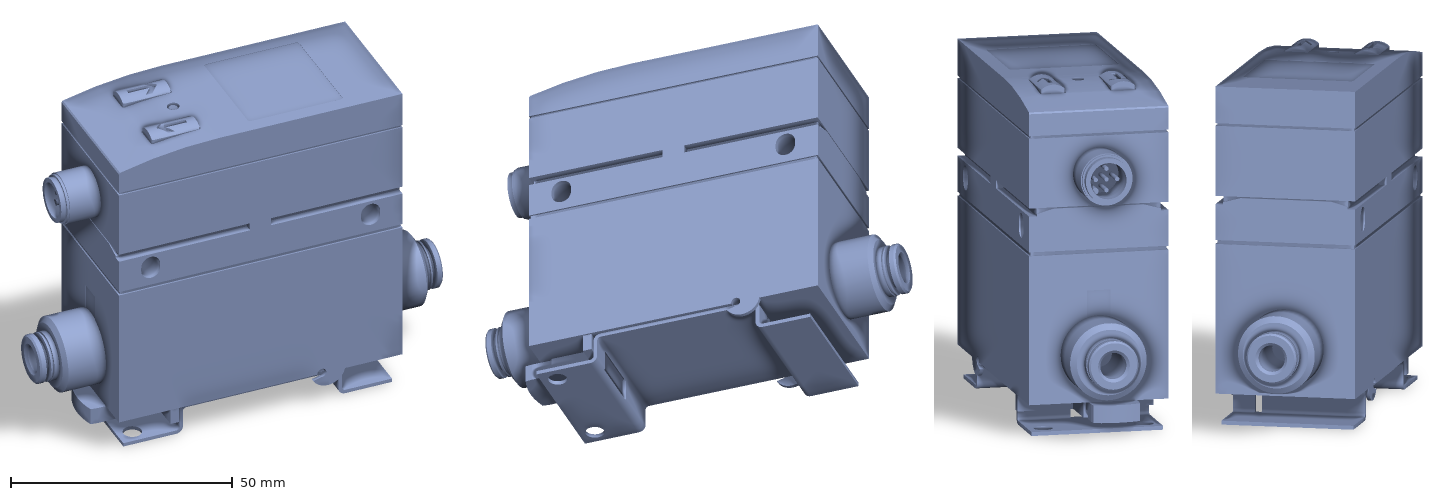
import cadquery as cq
import math

WIDTH = 32.3
LENGTH = 69.7
HEIGHT = 70.3
HALF_WIDTH = WIDTH / 2
FRONT = -LENGTH / 2
BACK = LENGTH / 2
SLOPE_START = -10.2
EDGE_CHAMFER = 0.3
SLOPE_DROP = 3.1
JOINT_DEPTH = 0.4
JOINTS = [(34.3, 0.9), (61.3, 0.6)]

SLOT_BOTTOM = 43.4
SLOT_HEIGHT = 1.9
SLOT_DEPTH = 1.8
SLOT_BRIDGE = 5.1
BRIDGE_Y = 0.0
MOUTH_DEPTH = 0.6
MOUTH_TAPER_END = 10.4
MOUTH_GAP = 0.3

CROSS_HOLE_WIDTH = 4.7
CROSS_HOLE_HEIGHT = 5.6
CROSS_HOLE_Y = 27.0
CROSS_HOLE_Z = 39.8

SHALLOW = 0.1
WINDOW_WIDTH = 25.3
WINDOW_LENGTH = 23.3
WINDOW_Y = 10.2
WINDOW_RADIUS = 0.7
LIGHT_DIAMETER = 2.9
LIGHT_Y = -14.5
LIGHT_DEPTH = 0.9
LENS_DIAMETER = 2.0
LENS_HEIGHT = 0.5

BUTTON_WIDTH = 5.5
BUTTON_LENGTH = 11.9
BUTTON_GAP = 0.2
BUTTON_CORNER = 0.4
BUTTON_X = 8.1
BUTTON_Y = -18.5
BUTTON_TOP = 71.3
BUTTON_CROWN = 1.1
BUTTON_WELL_FLOOR = 69.1
ARROW_DEPTH = 0.8
ARROW_LENGTH = 7.3
ARROW_SHAFT = 1.1
ARROW_HEAD = 4.2
ARROW_BARB = 1.6

LABEL_WIDTH = 5.4
LABEL_TOP = 25.7

PORT_Z = 11.1
COLLAR_DIAMETER = 17.7
COLLAR_LENGTH = 10.1
COLLAR_CHAMFER = 0.9
COLLAR_NOSE_DIAMETER = 15.0
LAND_DIAMETER = 11.5
LAND_LENGTH = 2.0
LAND_GROOVE_DIAMETER = 10.5
LAND_GROOVE_WIDTH = 0.4
NECK_DIAMETER = 8.1
NECK_LENGTH = 1.1
RELEASE_DIAMETER = 11.5
RELEASE_CHAMFER = 0.4
PORT_BORE = 6.0
PORT_MOUTH = 7.3
OVERALL_LENGTH = 99.0
FITTING_LENGTH = (OVERALL_LENGTH - LENGTH) / 2

PLUG_Z = 52.7
PLUG_DIAMETER = 12.0
PLUG_NOSE_DIAMETER = 10.5
PLUG_LENGTH = 9.4
PLUG_SHOULDER = 7.5
PLUG_STEP_DIAMETER = 11.5
PLUG_STEP = 8.1
PLUG_BORE = 8.3
PLUG_BORE_DEPTH = 7.9
PIN_DIAMETER = 1.0
PIN_LENGTH = 5.9
PIN_SPACING = 2.5
KEY_DIAMETER = 1.5
KEY_OFFSET = 2.6
KEY_SETBACK = 2.0

HOOK_Y = 16.5
HOOK_RADIUS = 4.3
HOOK_DEPTH = 3.5
NOTCH_Y = 15.0
NOTCH_Z = 0.2
NOTCH_RADIUS = 1.1
HOOK_TIP_Y = 13.3
HOOK_TIP_Z = -1.4

SHEET = 0.9
BRACKET_WIDTH = 30.5
BRACKET_DROP = 7.4
BRACKET_LEG_FRONT = -19.6
BRACKET_LEG_BACK = 20.4
FOOT_END_FRONT = -33.4
FOOT_END_BACK = 32.7
BEND_RADIUS = 0.8
FOOT_HOLE_DIAMETER = 4.4
FOOT_HOLE_X = 11.7
FOOT_HOLE_Y = -29.6
LEG_GAP_LEFT = -3.0
LEG_GAP_RIGHT = 10.2
BACK_GAP_LEFT = 8.6

SLIDER_WIDTH = 31.5
SLIDER_HEIGHT = 4.1
BAR_BACK = -19.9
BAR_FRONT = -22.0
TAB_CENTRE = 3.3
TAB_WIDTH = 11.1
TAB_BLOCK_WIDTH = 12.3
TAB_BLOCK_FRONT = -32.0
TAB_SIDE_END = -36.9
TAB_CORNER = -38.5
TAB_CORNER_INSET = 0.2
TAB_FRONT = -39.4
TAB_NOTCH_FRONT = -33.7
TAB_NOTCH_HEIGHT = 1.9
TAB_NOTCH_DEPTH = 1.5


def box(x0, x1, y0, y1, z0, z1):
    """Axis-aligned box between two opposite corners."""
    return cq.Workplane("XY").box(x1 - x0, y1 - y0, z1 - z0, centered=False).translate((x0, y0, z0))


def side_profile(x0, x1):
    """Workplane for a (Y, Z) outline at x0, with the length of the extrusion to x1."""
    return cq.Workplane("YZ", origin=(x0, 0, 0)), x1 - x0


def rod(diameter, y0, y1, x, z):
    """Cylinder along Y between y0 and y1."""
    return cq.Workplane("XZ", origin=(0, y0, 0)).center(x, z).circle(diameter / 2).extrude(y0 - y1)


def make_block():
    slope_length = SLOPE_START - FRONT
    slope_radius = (slope_length**2 + SLOPE_DROP**2) / (2 * SLOPE_DROP)
    half_length = slope_length / 2
    half_drop = slope_radius - math.sqrt(slope_radius**2 - half_length**2)
    plane, depth = side_profile(-HALF_WIDTH, HALF_WIDTH)
    block = (
        plane.moveTo(BACK, 0)
        .lineTo(BACK, HEIGHT)
        .lineTo(SLOPE_START, HEIGHT)
        .threePointArc((SLOPE_START - half_length, HEIGHT - half_drop), (FRONT, HEIGHT - SLOPE_DROP))
        .lineTo(FRONT, 0)
        .close()
        .extrude(depth)
    )
    return block.faces("<Y").edges(">Z").chamfer(EDGE_CHAMFER)


def make_joint_groove(bottom, height):
    """Shallow groove that runs around all four sides of the block."""
    outer = cq.Workplane("XY", origin=(0, 0, bottom)).rect(WIDTH, LENGTH)
    ring = outer.rect(WIDTH - 2 * JOINT_DEPTH, LENGTH - 2 * JOINT_DEPTH)
    return ring.extrude(height)


def make_side_slot(side, end):
    """Slot along one side face, open at the front (end = -1) or back (end = 1)."""
    xs = sorted([side * HALF_WIDTH, side * (HALF_WIDTH - SLOT_DEPTH)])
    ys = sorted([BRIDGE_Y + end * SLOT_BRIDGE / 2, end * BACK])
    return box(*xs, *ys, SLOT_BOTTOM, SLOT_BOTTOM + SLOT_HEIGHT)


def make_slot_mouth(end):
    """Shallow gap under the slot ceiling on an end face, widening to the side slots."""
    top = SLOT_BOTTOM + SLOT_HEIGHT
    outline = [
        (-HALF_WIDTH, top),
        (-HALF_WIDTH, SLOT_BOTTOM),
        (-MOUTH_TAPER_END, top - MOUTH_GAP),
        (MOUTH_TAPER_END, top - MOUTH_GAP),
        (HALF_WIDTH, SLOT_BOTTOM),
        (HALF_WIDTH, top),
    ]
    inner_y, outer_y = end * (BACK - MOUTH_DEPTH), end * BACK
    plane = cq.Workplane("XZ", origin=(0, max(inner_y, outer_y), 0))
    return plane.polyline(outline).close().extrude(MOUTH_DEPTH)


def make_cross_holes():
    plane, depth = side_profile(-HALF_WIDTH, HALF_WIDTH)
    places = [(-CROSS_HOLE_Y, CROSS_HOLE_Z), (CROSS_HOLE_Y, CROSS_HOLE_Z)]
    return plane.pushPoints(places).slot2D(CROSS_HOLE_HEIGHT, CROSS_HOLE_WIDTH, 90).extrude(depth)


def make_window():
    window = box(-WINDOW_WIDTH / 2, WINDOW_WIDTH / 2, WINDOW_Y - WINDOW_LENGTH / 2,
                 WINDOW_Y + WINDOW_LENGTH / 2, HEIGHT - SHALLOW, HEIGHT)
    return window.edges("|Z").fillet(WINDOW_RADIUS)


def make_light_hole():
    """Round hole around a low lens."""
    plane = cq.Workplane("XY", origin=(0, LIGHT_Y, HEIGHT - LIGHT_DEPTH))
    hole = plane.circle(LIGHT_DIAMETER / 2).extrude(LIGHT_DEPTH)
    return hole.cut(plane.circle(LENS_DIAMETER / 2).extrude(LENS_HEIGHT))


def make_arrow(direction):
    """Arrow outline extruded upward, pointing along direction * Y."""
    tip = ARROW_LENGTH / 2
    half_head = ARROW_HEAD / 2
    half_shaft = ARROW_SHAFT / 2
    right_half = [
        (half_head, tip - half_head),
        (half_head, tip - half_head - ARROW_BARB),
        (half_shaft, tip - half_shaft - ARROW_BARB),
        (half_shaft, -tip),
    ]
    left_half = [(-x, y) for x, y in reversed(right_half)]
    points = [(x, direction * y) for x, y in [(0, tip)] + right_half + left_half]
    return cq.Workplane("XY").polyline(points).close().extrude(BUTTON_CROWN)


def make_button(x, direction):
    """Crowned push button with an arrow engraved in its top."""
    half = BUTTON_WIDTH / 2
    shoulder = BUTTON_TOP - BUTTON_CROWN
    body = (
        cq.Workplane("XZ", origin=(x, BUTTON_Y + BUTTON_LENGTH / 2, 0))
        .moveTo(-half, BUTTON_WELL_FLOOR)
        .lineTo(-half, shoulder)
        .threePointArc((0, BUTTON_TOP), (half, shoulder))
        .lineTo(half, BUTTON_WELL_FLOOR)
        .close()
        .extrude(BUTTON_LENGTH)
        .edges("|Z")
        .fillet(BUTTON_CORNER)
    )
    arrow = make_arrow(direction).translate((x, BUTTON_Y, BUTTON_TOP - ARROW_DEPTH))
    return body.cut(arrow)


def make_button_well(x):
    """Pocket that leaves a narrow gap around a button."""
    half_width = BUTTON_WIDTH / 2 + BUTTON_GAP
    half_length = BUTTON_LENGTH / 2 + BUTTON_GAP
    well = box(x - half_width, x + half_width, BUTTON_Y - half_length, BUTTON_Y + half_length,
               BUTTON_WELL_FLOOR, HEIGHT)
    return well.edges("|Z").fillet(BUTTON_CORNER + BUTTON_GAP)


def make_label():
    return box(-LABEL_WIDTH / 2, LABEL_WIDTH / 2, FRONT, FRONT + SHALLOW, PORT_Z, LABEL_TOP)


def make_fitting(end):
    """Push-in fitting turned about the port axis, on the front (-1) or back (1) face."""
    collar_end = COLLAR_LENGTH
    land_end = collar_end + LAND_LENGTH
    groove_end = land_end - LAND_GROOVE_WIDTH
    groove_start = groove_end - LAND_GROOVE_WIDTH
    neck_end = land_end + NECK_LENGTH
    mouth_depth = (PORT_MOUTH - PORT_BORE) / 2
    steps = [
        (0, -SHALLOW),
        (COLLAR_DIAMETER, -SHALLOW),
        (COLLAR_DIAMETER, collar_end - COLLAR_CHAMFER),
        (COLLAR_NOSE_DIAMETER, collar_end),
        (LAND_DIAMETER, collar_end),
        (LAND_DIAMETER, groove_start),
        (LAND_GROOVE_DIAMETER, groove_start),
        (LAND_GROOVE_DIAMETER, groove_end),
        (LAND_DIAMETER, groove_end),
        (LAND_DIAMETER, land_end),
        (NECK_DIAMETER, land_end),
        (NECK_DIAMETER, neck_end),
        (RELEASE_DIAMETER, neck_end),
        (RELEASE_DIAMETER, FITTING_LENGTH - RELEASE_CHAMFER),
        (RELEASE_DIAMETER - 2 * RELEASE_CHAMFER, FITTING_LENGTH),
        (PORT_MOUTH, FITTING_LENGTH),
        (PORT_BORE, FITTING_LENGTH - mouth_depth),
        (PORT_BORE, 0),
        (0, 0),
    ]
    points = [(diameter / 2, end * (BACK + along)) for diameter, along in steps]
    return cq.Workplane("XY").polyline(points).close().revolve(360, (0, 0), (0, 1)).translate((0, 0, PORT_Z))


def make_plug():
    """Round connector with five contact pins and a coding key in its bore."""
    nose = FRONT - PLUG_LENGTH
    floor = nose + PLUG_BORE_DEPTH
    body = rod(PLUG_DIAMETER, FRONT, FRONT - PLUG_SHOULDER, 0, PLUG_Z)
    body = body.union(rod(PLUG_STEP_DIAMETER, FRONT, FRONT - PLUG_STEP, 0, PLUG_Z))
    body = body.union(rod(PLUG_NOSE_DIAMETER, FRONT, nose, 0, PLUG_Z))
    body = body.cut(rod(PLUG_BORE, floor, nose, 0, PLUG_Z))
    body = body.union(rod(KEY_DIAMETER, floor, nose + KEY_SETBACK, -KEY_OFFSET, PLUG_Z - KEY_OFFSET))
    for column, row in [(0, 0), (1, 0), (-1, 0), (0, 1), (0, -1)]:
        body = body.union(
            rod(PIN_DIAMETER, floor, floor - PIN_LENGTH, column * PIN_SPACING, PLUG_Z + row * PIN_SPACING)
        )
    return body


def make_hook(side):
    """Round-bottomed hook beside the bracket, flush with one side face."""
    xs = sorted([side * HALF_WIDTH, side * BRACKET_WIDTH / 2])
    plane, depth = side_profile(*xs)
    disc = plane.center(HOOK_Y, HOOK_RADIUS - HOOK_DEPTH).circle(HOOK_RADIUS).extrude(depth)
    below = box(*xs, HOOK_Y - HOOK_RADIUS, HOOK_Y + HOOK_RADIUS, -HOOK_DEPTH, 0)
    return disc.intersect(below)


def make_hook_notch():
    """Round channel across the housing, opening forward under it to shape the hook tips."""
    plane, depth = side_profile(-HALF_WIDTH, HALF_WIDTH)
    channel = plane.center(NOTCH_Y, NOTCH_Z).circle(NOTCH_RADIUS).extrude(depth)
    plane, depth = side_profile(-HALF_WIDTH, HALF_WIDTH)
    opening = [
        (NOTCH_Y, 0),
        (NOTCH_Y, NOTCH_Z - NOTCH_RADIUS),
        (HOOK_TIP_Y, HOOK_TIP_Z),
        (HOOK_Y - HOOK_RADIUS, HOOK_TIP_Z),
        (HOOK_Y - HOOK_RADIUS, 0),
    ]
    return channel.union(plane.polyline(opening).close().extrude(depth))


def make_housing():
    body = make_block()
    for bottom, height in JOINTS:
        body = body.cut(make_joint_groove(bottom, height))
    for end in (-1, 1):
        body = body.cut(make_slot_mouth(end))
        for side in (-1, 1):
            body = body.cut(make_side_slot(side, end))
    body = body.cut(make_cross_holes()).cut(make_window()).cut(make_light_hole()).cut(make_label())
    for side in (-1, 1):
        body = body.cut(make_button_well(side * BUTTON_X)).union(make_button(side * BUTTON_X, -side))
    body = body.union(make_plug())
    for end in (-1, 1):
        body = body.union(make_fitting(end))
    for side in (-1, 1):
        body = body.union(make_hook(side))
    return body.cut(make_hook_notch())


def round_bend(body, y, z, radius):
    """Round the edge along X that lies nearest to the given Y and Z."""
    edge = body.edges("|X").edges(cq.NearestToPointSelector((0, y, z)))
    return edge.fillet(radius)


def make_bracket():
    """Hat-shaped sheet bracket: plate under the housing, two legs and two feet."""
    half = BRACKET_WIDTH / 2
    plane, depth = side_profile(-half, half)
    outline = [
        (FOOT_END_FRONT, -BRACKET_DROP),
        (BRACKET_LEG_FRONT + SHEET, -BRACKET_DROP),
        (BRACKET_LEG_FRONT + SHEET, -SHEET),
        (BRACKET_LEG_BACK - SHEET, -SHEET),
        (BRACKET_LEG_BACK - SHEET, -BRACKET_DROP),
        (FOOT_END_BACK, -BRACKET_DROP),
        (FOOT_END_BACK, SHEET - BRACKET_DROP),
        (BRACKET_LEG_BACK, SHEET - BRACKET_DROP),
        (BRACKET_LEG_BACK, 0),
        (BRACKET_LEG_FRONT, 0),
        (BRACKET_LEG_FRONT, SHEET - BRACKET_DROP),
        (FOOT_END_FRONT, SHEET - BRACKET_DROP),
    ]
    body = plane.polyline(outline).close().extrude(depth)

    for leg, inward in [(BRACKET_LEG_FRONT, 1), (BRACKET_LEG_BACK, -1)]:
        inner_face = leg + inward * SHEET
        body = round_bend(body, inner_face, -SHEET, BEND_RADIUS)
        body = round_bend(body, leg, 0, BEND_RADIUS + SHEET)
        body = round_bend(body, leg, SHEET - BRACKET_DROP, BEND_RADIUS)
        body = round_bend(body, inner_face, -BRACKET_DROP, BEND_RADIUS + SHEET)

    for side in (-1, 1):
        hole = cq.Workplane("XY", origin=(side * FOOT_HOLE_X, FOOT_HOLE_Y, -BRACKET_DROP))
        body = body.cut(hole.circle(FOOT_HOLE_DIAMETER / 2).extrude(SHEET))
    foot_top = SHEET - BRACKET_DROP
    front_gap = box(LEG_GAP_LEFT, LEG_GAP_RIGHT, BRACKET_LEG_FRONT - BEND_RADIUS, BRACKET_LEG_FRONT + SHEET,
                    foot_top, -SHEET)
    back_gap = box(BACK_GAP_LEFT, LEG_GAP_RIGHT, BRACKET_LEG_BACK - SHEET, BRACKET_LEG_BACK + BEND_RADIUS,
                   foot_top, -SHEET)
    return body.cut(front_gap).cut(back_gap)


def make_slider():
    """Locking slider: full-width bar beside the front leg, with a finger tab."""
    half_block = TAB_WIDTH / 2
    half_front = half_block - TAB_CORNER_INSET
    bar = box(-SLIDER_WIDTH / 2, SLIDER_WIDTH / 2, BAR_FRONT, BAR_BACK, -SLIDER_HEIGHT, 0)
    tab = (
        cq.Workplane("XY", origin=(TAB_CENTRE, 0, -SLIDER_HEIGHT))
        .moveTo(-half_block, BAR_FRONT)
        .lineTo(-half_block, TAB_SIDE_END)
        .lineTo(-half_front, TAB_CORNER)
        .threePointArc((0, TAB_FRONT), (half_front, TAB_CORNER))
        .lineTo(half_block, TAB_SIDE_END)
        .lineTo(half_block, BAR_FRONT)
        .close()
        .extrude(SLIDER_HEIGHT)
    )
    half_wide = TAB_BLOCK_WIDTH / 2
    left = TAB_CENTRE - half_wide
    right = TAB_CENTRE + half_wide
    block = box(left, right, TAB_BLOCK_FRONT, BAR_FRONT, -SLIDER_HEIGHT, 0)
    notch = box(left, left + TAB_NOTCH_DEPTH, TAB_NOTCH_FRONT, TAB_BLOCK_FRONT,
                -SLIDER_HEIGHT, TAB_NOTCH_HEIGHT - SLIDER_HEIGHT)
    return bar.union(tab).union(block).cut(notch)


bracket = make_bracket()
slider = make_slider()
housing = make_housing()
result = cq.Compound.makeCompound([housing.val(), bracket.val(), slider.val()])